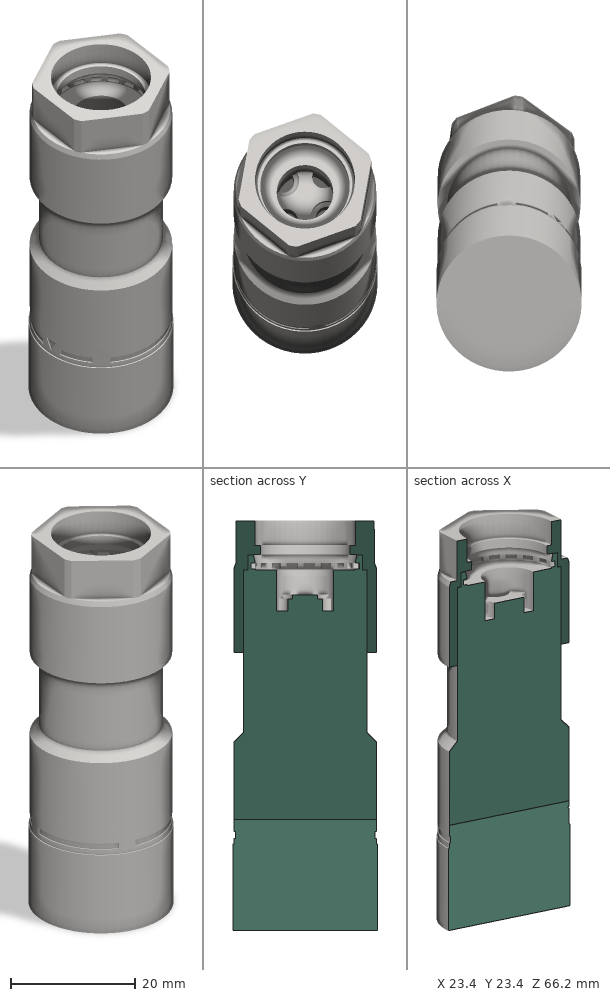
import cadquery as cq
import math

coupling_bottom_z = 0
coupling_shoulder_z = 14.0
coupling_top_z = 18.0
housing_shoulder_z = 30.5
nut_bottom_z = 44.85
hex_bottom_z = 59.4
total_height = 66.15

coupling_radius = 11.7
body_radius = 11.5
neck_radius = 10.0

marking_depth = 0.2
minus_y_angle = 270
marking_turn = 5.0
mark_groove_bottom_z = 14.95
mark_groove_height = 1.05
mark_groove_span = 75.5
arrow_gap_span = 19.2
arrow_width = 2.1
arrow_top_z = 16.95
arrow_tip_z = 14.9

hex_across_flats = 20.0
hex_corner_radius = 11.2
nut_edge_width = 0.3
nut_edge_height = 0.85
nut_bore_radius = 8.1
nut_bore_depth = 4.0
lip_radius = 7.2
lip_height = 1.5
lip_bottom_z = total_height - nut_bore_depth - lip_height

cup_floor_z = 58.2
cup_floor_radius = 8.0
cup_step_height = 0.2
spigot_radius = 9.25
cup_mouth_radius = 8.35
window_top_z = 59.3
window_back_radius = 8.7
finger_count = 18
finger_width = 1.0
diagonal_angle = 45

passage_radius = 4.55
passage_depth = 4.0
contact_circle_radius = 4.7
contact_radius = 1.85
contact_depth = 2.65
contact_recess_radius = 2.65
contact_recess_depth = 0.65


def cylinder(radius, bottom_z, top_z):
    return cq.Workplane("XY").workplane(offset=bottom_z).circle(radius).extrude(top_z - bottom_z)


def mark_groove(center_angle, span):
    """Arc-shaped cutter that reaches marking_depth into the coupling band."""
    inner_radius = body_radius - marking_depth
    groove_top_z = mark_groove_bottom_z + mark_groove_height
    return (
        cq.Workplane("XZ")
        .moveTo(inner_radius, mark_groove_bottom_z)
        .lineTo(coupling_radius, mark_groove_bottom_z)
        .lineTo(coupling_radius, groove_top_z)
        .lineTo(inner_radius, groove_top_z)
        .close()
        .revolve(span, (0, 0, 0), (0, 1, 0))
        .rotate((0, 0, 0), (0, 0, 1), center_angle - span / 2)
    )


def arrow_mark():
    """Triangular cutter on the -Y side, pointing down."""
    triangle = (
        cq.Workplane("XZ")
        .moveTo(-arrow_width / 2, arrow_top_z)
        .lineTo(arrow_width / 2, arrow_top_z)
        .lineTo(0, arrow_tip_z)
        .close()
        .extrude(coupling_radius)
    )
    return triangle.cut(cylinder(body_radius - marking_depth, coupling_shoulder_z, coupling_top_z))


def make_coupling_ring():
    ring = cylinder(coupling_radius, coupling_bottom_z, coupling_shoulder_z)
    ring = ring.union(cylinder(body_radius, coupling_shoulder_z, coupling_top_z))
    front_angle = minus_y_angle + marking_turn
    for quarter in range(1, 4):
        ring = ring.cut(mark_groove(front_angle + 90 * quarter, mark_groove_span))
    front_span = (mark_groove_span - arrow_gap_span) / 2
    front_offset = (arrow_gap_span + front_span) / 2
    for side in (-1, 1):
        ring = ring.cut(mark_groove(front_angle + side * front_offset, front_span))
    return ring.cut(arrow_mark().rotate((0, 0, 0), (0, 0, 1), marking_turn))


def clamping_fingers():
    """Posts between the cup windows, with one window centred on the X-Y diagonal."""
    outer_end_radius = (window_back_radius + spigot_radius) / 2
    radial_length = outer_end_radius - cup_floor_radius
    middle_radius = (cup_floor_radius + outer_end_radius) / 2
    half_step = 180 / finger_count
    return (
        cq.Workplane("XY")
        .workplane(offset=cup_floor_z)
        .polarArray(middle_radius, diagonal_angle + half_step, 360, finger_count)
        .rect(radial_length, finger_width)
        .extrude(window_top_z - cup_floor_z)
    )


def housing_blank():
    slope_top_z = housing_shoulder_z + body_radius - neck_radius
    window_floor_z = cup_floor_z + cup_step_height
    return (
        cq.Workplane("XZ")
        .moveTo(0, coupling_top_z)
        .lineTo(body_radius, coupling_top_z)
        .lineTo(body_radius, housing_shoulder_z)
        .lineTo(neck_radius, slope_top_z)
        .lineTo(neck_radius, cup_floor_z)
        .lineTo(spigot_radius, cup_floor_z)
        .lineTo(spigot_radius, lip_bottom_z)
        .lineTo(cup_mouth_radius, lip_bottom_z)
        .lineTo(cup_floor_radius, window_top_z)
        .lineTo(window_back_radius, window_top_z)
        .lineTo(window_back_radius, window_floor_z)
        .lineTo(cup_floor_radius, window_floor_z)
        .lineTo(cup_floor_radius, cup_floor_z)
        .lineTo(0, cup_floor_z)
        .close()
        .revolve(360, (0, 0, 0), (0, 1, 0))
    )


def contact_pockets(passage_floor_z):
    """Four round pockets clipped by the passage wall, the two on the X axis with a wider recess."""
    deepest_z = passage_floor_z - contact_depth
    contacts = (
        cq.Workplane("XY")
        .workplane(offset=deepest_z)
        .polarArray(contact_circle_radius, 0, 360, 4)
        .circle(contact_radius)
        .extrude(contact_depth)
    )
    recesses = (
        cq.Workplane("XY")
        .workplane(offset=passage_floor_z - contact_recess_depth)
        .polarArray(contact_circle_radius, 0, 360, 2)
        .circle(contact_recess_radius)
        .extrude(contact_recess_depth)
    )
    return contacts.union(recesses).intersect(cylinder(passage_radius, deepest_z, passage_floor_z))


def make_housing():
    housing = housing_blank().union(clamping_fingers())
    passage_floor_z = cup_floor_z - passage_depth
    housing = housing.cut(cylinder(passage_radius, passage_floor_z, cup_floor_z))
    return housing.cut(contact_pockets(passage_floor_z))


def make_nut():
    collar = cylinder(body_radius, nut_bottom_z, hex_bottom_z)
    collar = collar.faces(">Z").edges().chamfer(nut_edge_height, nut_edge_width)
    hexagon = (
        cq.Workplane("XY")
        .workplane(offset=hex_bottom_z)
        .polygon(6, hex_across_flats / math.cos(math.pi / 6))
        .extrude(total_height - hex_bottom_z)
        .intersect(cylinder(hex_corner_radius, hex_bottom_z, total_height))
    )
    nut = collar.union(hexagon)
    nut = nut.cut(cylinder(nut_bore_radius, total_height - nut_bore_depth, total_height))
    nut = nut.cut(cylinder(lip_radius, lip_bottom_z, total_height))
    nut = nut.cut(cylinder(spigot_radius, cup_floor_z, lip_bottom_z))
    return nut.cut(cylinder(neck_radius, nut_bottom_z, cup_floor_z))


coupling_ring = make_coupling_ring()
housing = make_housing()
nut = make_nut()

result = cq.Compound.makeCompound([coupling_ring.val(), housing.val(), nut.val()])